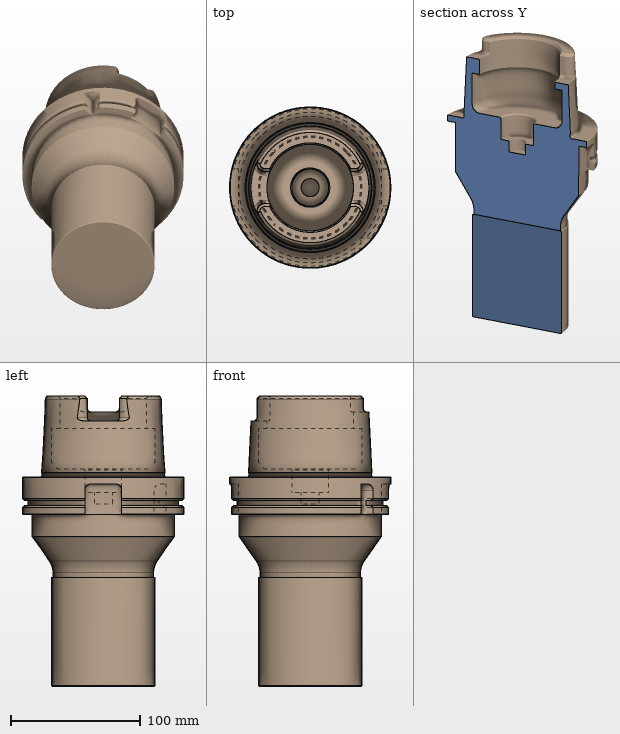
import cadquery as cq
import math

total_height = 225.0
stub_height = 84.1
shoulder_bottom = 115.5
flange_width = 29.0
flange_face = 162.0
flange_bottom = flange_face - flange_width

stub_diameter = 80.0
stub_chamfer = 0.7

collar_diameter = 110.5
collar_chamfer = 0.5
neck_diameter = 77.8
neck_arc_radius = 15.7
cone_half_angle = math.radians(35)

flange_diameter = 124.8
flange_edge_chamfer = 0.5
groove_root_diameter = 116.5
groove_top = flange_face - 18.0
groove_bottom = flange_face - 22.0
groove_chamfer = 1.46

relief_outer_radius = 50.4
relief_floor_radius = 49.7
relief_depth = 0.2
relief_fillet = 1.5

taper_neck_diameter = 95.1
taper_neck_top = flange_face + 3.1
taper_base_diameter = 95.5
taper_base = flange_face + 3.5
taper_ratio = 0.1
rim_round_height = 3.0
rim_round_width = 2.2

mouth_diameter = 67.0
mouth_depth = 25.2
mouth_chamfer_width = 1.1
mouth_chamfer_depth = 2.0
chamber_diameter = 80.0
chamber_depth = 50.2
chamber_fillet = 6.5
chamber_floor = total_height - chamber_depth - chamber_fillet
thread_diameter = 28.5
thread_mouth_diameter = 30.4
thread_chamfer = (thread_mouth_diameter - thread_diameter) / 2
thread_depth = 18.0
coolant_diameter = 14.0
coolant_depth = 9.0

slot_width = 24.7
slot_reach = 41.2
slot_corner_radius = 6.3
slot_wall_length = 22.5
slot_floor_fillet = 2.5
slot_edge_chamfer = 2.2
slot_depth_left = 19.3
slot_depth_right = 12.4

keyway_width = 28.5
keyway_floor = 55.3
keyway_top = flange_face - 5.5
keyway_corner_radius = 4.3
notch_offset = 39.1
notch_fillet = 5.0

clearance = 11.2


def make_stub():
    """Plain round stub that carries the holder."""
    stub = cq.Workplane("XY").circle(stub_diameter / 2).extrude(stub_height)
    return stub.faces("<Z").edges().chamfer(stub_chamfer)


def make_holder_blank():
    """Solid of revolution: neck, cone, collar, grooved flange and taper."""
    neck_r = neck_diameter / 2
    collar_r = collar_diameter / 2
    flange_r = flange_diameter / 2
    groove_r = groove_root_diameter / 2
    taper_neck_r = taper_neck_diameter / 2
    taper_base_r = taper_base_diameter / 2

    cone_top_r = collar_r - collar_chamfer
    cone_bottom_r = neck_r + neck_arc_radius * (1 - math.cos(cone_half_angle))
    cone_bottom = shoulder_bottom - (cone_top_r - cone_bottom_r) / math.tan(cone_half_angle)
    arc_bottom = cone_bottom - neck_arc_radius * math.sin(cone_half_angle)

    relief_floor = flange_face - relief_depth
    fillet_r = taper_neck_r + relief_fillet
    fillet_top = relief_floor + relief_fillet

    rim_bottom = total_height - rim_round_height
    rim_r = taper_base_r - taper_ratio / 2 * (rim_bottom - taper_base)

    profile = (
        cq.Workplane("XZ")
        .moveTo(0, stub_height)
        .lineTo(neck_r, stub_height)
        .lineTo(neck_r, arc_bottom)
        .tangentArcPoint((cone_bottom_r, cone_bottom), relative=False)
        .lineTo(cone_top_r, shoulder_bottom)
        .lineTo(collar_r, shoulder_bottom + collar_chamfer)
        .lineTo(collar_r, flange_bottom)
        .lineTo(flange_r - flange_edge_chamfer, flange_bottom)
        .lineTo(flange_r, flange_bottom + flange_edge_chamfer)
        .lineTo(flange_r, groove_bottom - groove_chamfer)
        .lineTo(flange_r - groove_chamfer, groove_bottom)
        .lineTo(groove_r, groove_bottom)
        .lineTo(groove_r, groove_top)
        .lineTo(flange_r - groove_chamfer, groove_top)
        .lineTo(flange_r, groove_top + groove_chamfer)
        .lineTo(flange_r, flange_face - flange_edge_chamfer)
        .lineTo(flange_r - flange_edge_chamfer, flange_face)
        .lineTo(relief_outer_radius, flange_face)
        .lineTo(relief_floor_radius, relief_floor)
        .lineTo(fillet_r, relief_floor)
        .tangentArcPoint((taper_neck_r, fillet_top), relative=False)
        .lineTo(taper_neck_r, taper_neck_top)
        .lineTo(taper_base_r, taper_base)
        .lineTo(rim_r, rim_bottom)
        .tangentArcPoint((rim_r - rim_round_width, total_height), relative=False)
        .lineTo(0, total_height)
        .close()
    )
    return profile.revolve(360, (0, 0, 0), (0, 1, 0))


def make_bore_cutter():
    """Clamping bore: chamfered mouth, wider round-bottomed chamber, thread hole and coolant hole."""
    mouth_r = mouth_diameter / 2
    chamber_r = chamber_diameter / 2
    thread_r = thread_diameter / 2
    coolant_r = coolant_diameter / 2
    mouth_bottom = total_height - mouth_depth
    chamber_bottom = total_height - chamber_depth
    thread_bottom = chamber_floor - thread_depth
    profile = (
        cq.Workplane("XZ")
        .moveTo(0, total_height)
        .lineTo(mouth_r + mouth_chamfer_width, total_height)
        .lineTo(mouth_r, total_height - mouth_chamfer_depth)
        .lineTo(mouth_r, mouth_bottom)
        .lineTo(chamber_r, mouth_bottom)
        .lineTo(chamber_r, chamber_bottom)
        .tangentArcPoint((chamber_r - chamber_fillet, chamber_floor), relative=False)
        .lineTo(thread_r + thread_chamfer, chamber_floor)
        .lineTo(thread_r, chamber_floor - thread_chamfer)
        .lineTo(thread_r, thread_bottom)
        .lineTo(coolant_r, thread_bottom)
        .lineTo(coolant_r, thread_bottom - coolant_depth)
        .lineTo(0, thread_bottom - coolant_depth)
        .close()
    )
    return profile.revolve(360, (0, 0, 0), (0, 1, 0))


def slot_outline(workplane, growth=0.0):
    """Slot outline toward +X, flared by rounded corners; growth moves every wall outward."""
    half_width = slot_width / 2 + growth
    corner_radius = slot_corner_radius - growth
    center_x = slot_reach - slot_corner_radius
    center_y = slot_width / 2 + slot_corner_radius

    end_angle = math.atan2(center_y, center_x)
    arc_end_x = center_x + corner_radius * math.cos(end_angle)
    arc_end_y = center_y + corner_radius * math.sin(end_angle)
    middle_angle = (end_angle - math.pi / 2) / 2
    arc_middle_x = center_x + corner_radius * math.cos(middle_angle)
    arc_middle_y = center_y + corner_radius * math.sin(middle_angle)
    wall_end_x = arc_end_x - slot_wall_length * math.sin(end_angle)
    wall_end_y = arc_end_y + slot_wall_length * math.cos(end_angle)
    outer_x = flange_diameter / 2
    return (
        workplane.moveTo(0, -half_width)
        .lineTo(center_x, -half_width)
        .threePointArc((arc_middle_x, -arc_middle_y), (arc_end_x, -arc_end_y))
        .lineTo(wall_end_x, -wall_end_y)
        .lineTo(outer_x, -wall_end_y)
        .lineTo(outer_x, wall_end_y)
        .lineTo(wall_end_x, wall_end_y)
        .lineTo(arc_end_x, arc_end_y)
        .threePointArc((arc_middle_x, arc_middle_y), (center_x, half_width))
        .lineTo(0, half_width)
        .close()
    )


def make_slot_cutter(depth):
    """Drive slot toward +X with a rounded floor edge and chamfered top edges."""
    floor_plane = cq.Workplane("XY").workplane(offset=total_height - depth)
    slot = slot_outline(floor_plane).extrude(depth)
    slot = slot.faces("<Z").edges().fillet(slot_floor_fillet)
    chamfer_plane = cq.Workplane("XY").workplane(offset=total_height - slot_edge_chamfer)
    lower = slot_outline(chamfer_plane).wires().val()
    top_plane = cq.Workplane("XY").workplane(offset=total_height)
    upper = slot_outline(top_plane, slot_edge_chamfer).wires().val()
    chamfer = cq.Solid.makeLoft([lower, upper], True)
    return slot.union(cq.Workplane(chamfer))


def make_keyway_cutter():
    """Flange keyway toward +X, open at the bottom and rounded at both top corners."""
    height = keyway_top - flange_bottom
    depth = flange_diameter / 2 + clearance - keyway_floor
    cutter = cq.Workplane("XY").box(depth, keyway_width, height, centered=(False, True, False))
    cutter = cutter.edges("|X and >Z").fillet(keyway_corner_radius)
    return cutter.translate((keyway_floor, 0, flange_bottom))


def make_notch_cutter():
    """Square index notch in the rim, between +X and -Y, rounded above its Y wall."""
    height = keyway_top - flange_bottom
    side = flange_diameter / 2
    cutter = cq.Workplane("XY").box(side, side, height, centered=False)
    cutter = cutter.edges("|X and >Z and >Y").fillet(notch_fillet)
    return cutter.translate((notch_offset, -notch_offset - side, flange_bottom))


def make_holder():
    """Taper holder with its bore, drive slots, keyways and index notch."""
    holder = make_holder_blank().cut(make_bore_cutter())
    axis_start = (0, 0, 0)
    axis_end = (0, 0, 1)
    for turn, depth in ((0, slot_depth_right), (180, slot_depth_left)):
        holder = holder.cut(make_slot_cutter(depth).rotate(axis_start, axis_end, turn))
        holder = holder.cut(make_keyway_cutter().rotate(axis_start, axis_end, turn))
    return holder.cut(make_notch_cutter())


stub = make_stub()
holder = make_holder()

result = cq.Compound.makeCompound([holder.val(), stub.val()])